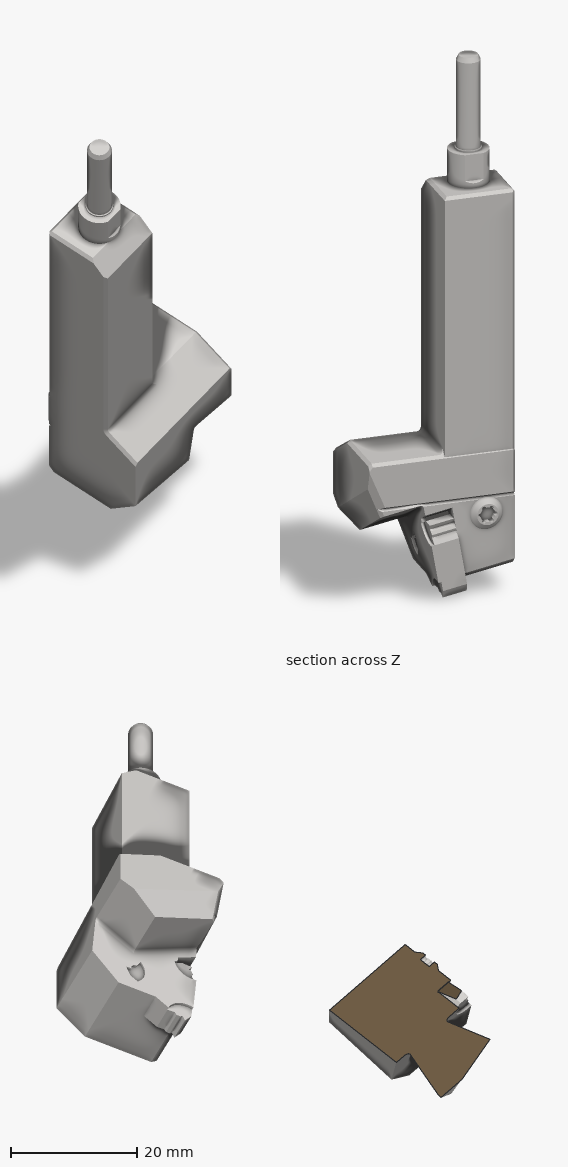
import cadquery as cq
import math

shank_width = 12.0
shank_depth = 11.85
shank_inset = 0.15
root_fillet = 0.8
shank_top = 68.75
shank_top_chamfer = 3.0
edge_chamfer = 0.5

connector_x = shank_width / 2
connector_y = shank_depth / 2
collar_diameter = 6.75
collar_top = 74.4
collar_flats = 6.0
flat_bottom = shank_top + 1.2
lip_diameter = 4.4
lip_height = 0.3
pin_diameter = 3.95
pin_top = 90.38
pin_chamfer = 0.4
pin_chamfer_length = 0.8

head_width = 18.0
head_depth = 24.5
ledge_height = 24.7
slope_angle = math.radians(30)
slope_bottom = 20.75
slope_run = (ledge_height - slope_bottom) / math.tan(slope_angle)

recess_depth = 0.5
recess_top = 17.05
groove_depth = 0.9
groove_center = 16.5
groove_bottom = 16.2

tilt = math.radians(10)
back_wall = 12.25
front_bottom = 4.36
left_bottom_chamfer = 0.95
right_bottom_chamfer = 5.0
ridge_x = 11.0
ridge_height = 12.85
ridge_slope = math.radians(30)
wall_fillet = 0.5

insert_front = 7.65
insert_inradius = 4.6
insert_center = 8.569
corner_count = 3
corner_points = [
    (-4.6, -4.95),
    (-3.6, -6.5),
    (-3.1, -5.65),
    (-2.75, -5.95),
    (-2.1, -5.95),
    (-1.75, -5.5),
    (-0.47, -5.58),
]
tip_index = 1
rebate_radius = 3.3
rebate_depth = 0.5
pocket_roof_height = 17.0
pocket_relief_depth = 3.0

screw_y = 4.75
screw_z = 13.75
screw_head_diameter = 5.5
screw_top_diameter = 3.6
screw_projection = 0.25
socket_diameter = 2.5
lobe_count = 6
lobe_diameter = 0.7
socket_depth = 1.2

oversize = 60.0
margin = 0.1
clearance = 1.0


def tilted_plane(distance):
    """X-Z work plane turned about X, at a distance along the tilted Y."""
    plane = cq.Plane(
        origin=(0, 0, 0),
        xDir=(1, 0, 0),
        normal=(0, -math.cos(tilt), math.sin(tilt)),
    )
    return cq.Workplane(plane).workplane(offset=-distance)


def tilted_prism(points, start, end):
    """Prism of an outline in the tilted X-Z frame, from start to end along the tilted Y."""
    return tilted_plane(start).polyline(points).close().extrude(start - end)


def corner_cutter(a, b, c, outward):
    """Large box lying on the outer side of the plane through three points."""
    origin = cq.Vector(*a)
    normal = (cq.Vector(*b) - origin).cross(cq.Vector(*c) - origin).normalized()
    if normal.dot(cq.Vector(*outward)) < 0:
        normal = normal * -1
    plane = cq.Plane(origin=origin, xDir=cq.Vector(*b) - origin, normal=normal)
    return cq.Workplane(plane).rect(oversize, oversize).extrude(oversize)


def make_head():
    """Head block with a sloping +X shoulder and chamfered rear and left top edges."""
    slope_start = head_width - slope_run
    outline = [
        (edge_chamfer, ledge_height),
        (slope_start, ledge_height),
        (head_width, slope_bottom),
        (head_width, 0),
        (0, 0),
        (0, ledge_height - edge_chamfer),
    ]
    head = cq.Workplane("XZ").polyline(outline).close().extrude(-head_depth)
    rear_top = cq.selectors.BoxSelector(
        (-margin, head_depth - margin, slope_bottom),
        (head_width, head_depth + margin, ledge_height + margin),
    )
    return head.edges(rear_top).chamfer(edge_chamfer)


def make_shank():
    """Shank with a beveled +X top corner and chamfered top edges."""
    outline = [
        (shank_inset, 0),
        (shank_width, 0),
        (shank_width, shank_top - shank_top_chamfer),
        (shank_width - shank_top_chamfer, shank_top),
        (shank_inset, shank_top),
    ]
    shank = cq.Workplane("XZ").polyline(outline).close().extrude(-shank_depth)
    return shank.faces(">Z").edges("not >X").chamfer(edge_chamfer)


def make_block():
    """Head and shank joined, with the root fillet and the chamfered front edges."""
    block = make_head().union(make_shank())
    root = cq.selectors.BoxSelector(
        (edge_chamfer, shank_depth / 2 - margin, ledge_height - clearance),
        (shank_width + margin, shank_depth + margin, ledge_height + margin),
    )
    block = block.edges(root).fillet(root_fillet)
    front_outline = cq.selectors.BoxSelector(
        (-margin, -margin, recess_top / 2),
        (head_width - margin, 0.1, shank_top - shank_top_chamfer),
    )
    return block.edges(front_outline).chamfer(edge_chamfer)


def cut_recess(body):
    """Set back the -X face below the band, with an undercut groove along the top."""
    outline = [
        (-clearance, recess_top),
        (0, recess_top),
        (groove_depth, groove_center),
        (recess_depth, groove_bottom),
        (recess_depth, -oversize),
        (-clearance, -oversize),
    ]
    return body.cut(cq.Workplane("XZ").polyline(outline).close().extrude(-head_depth))


def cut_underside(body):
    """Tilted bottom with chamfered sides in front of the back wall, and a ridge behind it."""
    left = recess_depth + left_bottom_chamfer
    right = head_width - right_bottom_chamfer
    bottom_outline = [
        (-oversize, -oversize),
        (-oversize, front_bottom + left + oversize),
        (left, front_bottom),
        (right, front_bottom),
        (right + oversize, front_bottom + oversize),
        (right + oversize, -oversize),
    ]
    drop = math.tan(ridge_slope)
    ridge_outline = [
        (-oversize, -oversize),
        (-oversize, ridge_height + drop * (ridge_x + oversize)),
        (ridge_x, ridge_height),
        (oversize, ridge_height + drop * (oversize - ridge_x)),
        (oversize, -oversize),
    ]
    body = body.cut(tilted_prism(bottom_outline, -oversize, back_wall))
    rear_cutter = tilted_prism(ridge_outline, back_wall, oversize)
    wall = cq.selectors.DirectionMinMaxSelector(cq.Vector(0, math.cos(tilt), -math.sin(tilt)), False)
    roof = cq.selectors.BoxSelector((-oversize + margin, 0, 0), (oversize - margin, oversize, oversize))
    rear_cutter = rear_cutter.faces(wall).edges(roof).fillet(wall_fillet)
    return body.cut(rear_cutter)


def cut_rear_corner(body):
    """Two sloping clearance faces on the rear -X corner of the head."""
    shared_top = (0.95, head_depth, 20.2)
    shared_bottom = (1.0, 22.46, 15.14)
    side_corner = (0, 21.9, recess_top)
    rear_corner = (14.9, head_depth, 11.9)
    outward = (-1, 1, -1)
    body = body.cut(corner_cutter(shared_top, shared_bottom, side_corner, outward))
    return body.cut(corner_cutter(shared_top, shared_bottom, rear_corner, outward))


def turned(point, corner):
    """Place a corner point, given relative to the insert center, at one of the corners."""
    x, z = point
    angle = 2 * math.pi / corner_count * corner
    turned_x = x * math.cos(angle) - z * math.sin(angle)
    turned_z = x * math.sin(angle) + z * math.cos(angle)
    return (insert_inradius + turned_x, insert_center + turned_z)


def make_insert_blank():
    """Full-thickness insert: one corner outline repeated around the center and extruded."""
    points = [turned(point, corner) for corner in range(corner_count) for point in corner_points]
    return tilted_prism(points, insert_front, back_wall)


def cut_tip_rebates(blank):
    """Thin the back of the insert around each tip."""
    tips = [turned(corner_points[tip_index], corner) for corner in range(corner_count)]
    rebates = tilted_plane(back_wall - rebate_depth).pushPoints(tips).circle(rebate_radius)
    return blank.cut(rebates.extrude(-rebate_depth))


def cut_pocket(body, blank):
    """Seat that fits the insert, with open relief between its upper corner and a sloping roof."""
    fall = math.tan(ridge_slope)
    right = recess_depth + pocket_relief_depth
    relief = [
        (-clearance, pocket_roof_height + fall * (recess_depth + clearance)),
        (right, pocket_roof_height - fall * pocket_relief_depth),
        (right, insert_center),
        (-clearance, insert_center),
    ]
    return body.cut(tilted_prism(relief, insert_front, back_wall)).cut(blank)


def add_screw(body):
    """Countersunk screw head standing slightly proud of the clamping face, with a socket."""
    plane = cq.Plane(origin=(recess_depth, screw_y, screw_z), xDir=(0, 1, 0), normal=(-1, 0, 0))
    height = recess_depth + screw_projection
    head = (
        cq.Workplane(plane)
        .circle(screw_head_diameter / 2)
        .workplane(offset=height)
        .circle(screw_top_diameter / 2)
        .loft()
    )
    top = cq.Workplane(plane).workplane(offset=height)
    socket = top.circle(socket_diameter / 2).extrude(-socket_depth)
    lobes = top.polarArray(socket_diameter / 2, 0, 360, lobe_count).circle(lobe_diameter / 2)
    return body.union(head).cut(socket).cut(lobes.extrude(-socket_depth))


def cylinder(diameter, bottom, top):
    """Vertical cylinder on the connector axis."""
    base = cq.Workplane("XY", origin=(connector_x, connector_y, bottom))
    return base.circle(diameter / 2).extrude(top - bottom)


def make_connector():
    """Collar with two wrench flats, a small lip and a slim pin with a tapered end."""
    collar = cylinder(collar_diameter, shank_top, collar_top)
    flat_cutter = (
        cq.Workplane("XZ", origin=(connector_x, connector_y, 0))
        .polyline(
            [
                (collar_flats / 2, collar_top),
                (collar_flats / 2, flat_bottom),
                (collar_diameter / 2, flat_bottom - (collar_diameter - collar_flats) / 2),
                (collar_diameter / 2, collar_top),
            ]
        )
        .close()
        .extrude(collar_diameter / 2, both=True)
    )
    axis_start = (connector_x, connector_y, 0)
    axis_end = (connector_x, connector_y, 1)
    for angle in (0, 180):
        collar = collar.cut(flat_cutter.rotate(axis_start, axis_end, angle))
    lip = cylinder(lip_diameter, collar_top, collar_top + lip_height)
    pin = cylinder(pin_diameter, collar_top, pin_top)
    pin = pin.faces(">Z").chamfer(pin_chamfer_length, pin_chamfer)
    return collar.union(lip).union(pin)


insert_blank = make_insert_blank()
insert = cut_tip_rebates(insert_blank)

holder = cut_recess(make_block())
holder = cut_underside(holder)
holder = cut_rear_corner(holder)
holder = cut_pocket(holder, insert_blank)
holder = add_screw(holder)
holder = holder.union(make_connector())

result = cq.Compound.makeCompound([holder.val(), insert.val()])